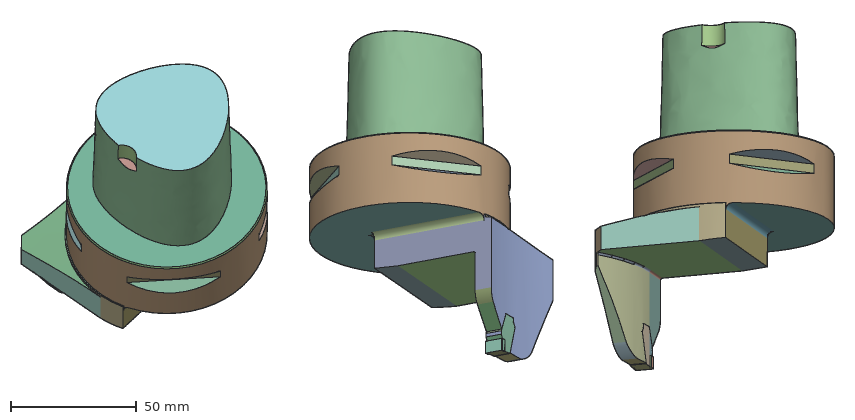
import cadquery as cq
import math


OVERALL_LENGTH_X = 86.0
OVERALL_HEIGHT = 133.1

SHANK_HEIGHT = 48.0
SHANK_BASE_RADIUS = 27.5
SHANK_TAPER = 1 / 40
SHANK_TOP_RADIUS = SHANK_BASE_RADIUS - SHANK_HEIGHT * SHANK_TAPER
LOBE_HEIGHT = 2.1
LOBE_POINTS = 36

NOTCH_RADIUS = 5.9
NOTCH_AXIS_Y = -27.4
NOTCH_DEPTH = 8.5
NOTCH_TIP_HEIGHT = NOTCH_RADIUS * math.tan(math.radians(30))

FLANGE_RADIUS = 40.0
FLANGE_HEIGHT = 30.1
FLANGE_CHAMFER = 0.5
SLOT_COUNT = 4
SLOT_FLOOR_RADIUS = 35.4
SLOT_FLOOR_WIDTH = 3.7
SLOT_FLANK_ANGLE = 30
SLOT_Z = -12.0
SLOT_LENGTH = 2 * FLANGE_RADIUS

BLOCK_FRONT_Y = -40.53
BLOCK_BACK_Y = 10.2
BLOCK_RIGHT_X = 10.5
BLOCK_BOTTOM_Z = -45.3
BLOCK_RIGHT_RISE = 0.8
BLOCK_FILLET = 2.7
ROOF_STEP = 1.2
ROOF_RADIUS = 57.9
ROOF_EDGE_Z = -35.5
CORNER_FRONT_X = -41.5
CORNER_X = FLANGE_RADIUS - OVERALL_LENGTH_X
CORNER_Y = -35.1

BLADE_OUTER_X = -41.5
BLADE_OUTER_APEX_Y = 0.7
BLADE_INNER_X = -34.6
BLADE_INNER_CURVE_Y = -2.7
BLADE_INNER_RADIUS = 62.5
BLADE_FRONT_Y = -36.2
BLADE_BOTTOM_Z = -84.1
BLADE_FILLET = 0.8

TIP_Z = SHANK_HEIGHT - OVERALL_HEIGHT
TIP_Y = 0.1
HEAD_BACK_Y = -2.4
HEAD_TOP_Z = -80.0
HEAD_RELIEF = 0.4
HEAD_OVERHANG = 0.7


def lobed_section(radius):
    """Points of a rounded three-lobed curve with one lobe toward +Y."""
    points = []
    for i in range(LOBE_POINTS):
        angle = 2 * math.pi * i / LOBE_POINTS
        x = radius * math.sin(angle) - LOBE_HEIGHT * math.sin(2 * angle)
        y = radius * math.cos(angle) + LOBE_HEIGHT * math.cos(2 * angle)
        points.append((x, y))
    return points


def make_shank():
    return (
        cq.Workplane("XY")
        .spline(lobed_section(SHANK_BASE_RADIUS), periodic=True).close()
        .workplane(offset=SHANK_HEIGHT)
        .spline(lobed_section(SHANK_TOP_RADIUS), periodic=True).close()
        .loft(combine=True)
    )


def make_notch():
    """Round hole with a conical end, turned about its own vertical axis."""
    return (
        cq.Workplane("XZ")
        .polyline([
            (0, 0),
            (NOTCH_RADIUS, 0),
            (NOTCH_RADIUS, -NOTCH_DEPTH),
            (0, -NOTCH_DEPTH - NOTCH_TIP_HEIGHT),
        ])
        .close()
        .revolve(360, (0, 0), (0, 1))
        .translate((0, NOTCH_AXIS_Y, SHANK_HEIGHT))
    )


def make_slot(angle):
    """Trapezoidal groove along a chord of the flange."""
    depth = FLANGE_RADIUS - SLOT_FLOOR_RADIUS
    half_floor = SLOT_FLOOR_WIDTH / 2
    half_mouth = half_floor + depth * math.tan(math.radians(SLOT_FLANK_ANGLE))
    return (
        cq.Workplane("XZ")
        .polyline([
            (SLOT_FLOOR_RADIUS, SLOT_Z - half_floor),
            (FLANGE_RADIUS, SLOT_Z - half_mouth),
            (FLANGE_RADIUS, SLOT_Z + half_mouth),
            (SLOT_FLOOR_RADIUS, SLOT_Z + half_floor),
        ])
        .close()
        .extrude(SLOT_LENGTH / 2, both=True)
        .rotate((0, 0, 0), (0, 0, 1), angle)
    )


def make_flange():
    flange = (
        cq.Workplane("XY")
        .circle(FLANGE_RADIUS)
        .extrude(-FLANGE_HEIGHT)
        .faces(">Z").chamfer(FLANGE_CHAMFER)
    )
    step = 360 / SLOT_COUNT
    for i in range(SLOT_COUNT):
        flange = flange.cut(make_slot(step * (i + 0.5)))
    return flange


def outer_curve_point(y):
    """Point on the arc through the corner that has its apex at BLADE_OUTER_APEX_Y."""
    dx = BLADE_OUTER_X - CORNER_X
    dy = BLADE_OUTER_APEX_Y - CORNER_Y
    radius = (dx ** 2 + dy ** 2) / (2 * dx)
    bow = radius - math.sqrt(radius ** 2 - (y - BLADE_OUTER_APEX_Y) ** 2)
    return (BLADE_OUTER_X - bow, y)


def inner_curve_point(y):
    drop = BLADE_INNER_CURVE_Y - y
    bow = BLADE_INNER_RADIUS - math.sqrt(BLADE_INNER_RADIUS ** 2 - drop ** 2)
    return (BLADE_INNER_X - bow, y)


def make_block():
    """Block under the flange, with a conical roof and a rising right-hand underside."""
    front_radius = -BLOCK_FRONT_Y
    right_front_y = -math.sqrt(front_radius ** 2 - BLOCK_RIGHT_X ** 2)
    half_angle = math.asin(BLOCK_RIGHT_X / front_radius) / 2
    arc_middle = (front_radius * math.sin(half_angle), -front_radius * math.cos(half_angle))
    plan = (
        cq.Workplane("XY", origin=(0, 0, BLOCK_BOTTOM_Z))
        .moveTo(*outer_curve_point(BLOCK_BACK_Y))
        .threePointArc(outer_curve_point(BLADE_OUTER_APEX_Y), (CORNER_X, CORNER_Y))
        .lineTo(CORNER_FRONT_X, BLOCK_FRONT_Y)
        .lineTo(0, BLOCK_FRONT_Y)
        .threePointArc(arc_middle, (BLOCK_RIGHT_X, right_front_y))
        .lineTo(BLOCK_RIGHT_X, BLOCK_BACK_Y)
        .close()
        .extrude(-FLANGE_HEIGHT - BLOCK_BOTTOM_Z)
    )
    roof = (
        cq.Workplane("XZ")
        .polyline([
            (0, -FLANGE_HEIGHT),
            (front_radius, -FLANGE_HEIGHT),
            (front_radius, -FLANGE_HEIGHT - ROOF_STEP),
            (ROOF_RADIUS, ROOF_EDGE_Z),
            (ROOF_RADIUS + 1.3, ROOF_EDGE_Z),
            (ROOF_RADIUS + 1.3, BLOCK_BOTTOM_Z),
            (0, BLOCK_BOTTOM_Z),
        ])
        .close()
        .revolve(360, (0, 0), (0, 1))
    )
    rise = (
        cq.Workplane("XZ")
        .polyline([
            (0, BLOCK_BOTTOM_Z),
            (BLOCK_RIGHT_X, BLOCK_BOTTOM_Z),
            (BLOCK_RIGHT_X, BLOCK_BOTTOM_Z + BLOCK_RIGHT_RISE),
        ])
        .close()
        .extrude(FLANGE_RADIUS * 2, both=True)
    )
    return plan.intersect(roof).cut(rise)


def fillet_section(plane, wall):
    """Section of a concave fillet between a vertical wall and the flange underside."""
    bend = BLOCK_FILLET * (1 - math.sqrt(0.5))
    return (
        cq.Workplane(plane)
        .moveTo(wall, -FLANGE_HEIGHT)
        .lineTo(wall + BLOCK_FILLET, -FLANGE_HEIGHT)
        .threePointArc((wall + bend, -FLANGE_HEIGHT - bend), (wall, -FLANGE_HEIGHT - BLOCK_FILLET))
        .close()
    )


def make_block_fillets():
    """Fillets along the right and back walls of the block."""
    right = fillet_section("XZ", BLOCK_RIGHT_X).extrude(FLANGE_RADIUS, both=True)
    right = right.intersect(
        cq.Workplane("XY").box(OVERALL_HEIGHT, FLANGE_RADIUS + BLOCK_BACK_Y, OVERALL_HEIGHT)
        .translate((0, (BLOCK_BACK_Y - FLANGE_RADIUS) / 2, 0))
    )
    back = fillet_section("YZ", BLOCK_BACK_Y).extrude(BLOCK_RIGHT_X - BLADE_OUTER_X)
    back = back.translate((BLADE_OUTER_X, 0, 0))
    under_flange = (
        cq.Workplane("XY", origin=(0, 0, -FLANGE_HEIGHT))
        .circle(FLANGE_RADIUS)
        .extrude(-BLOCK_FILLET)
    )
    return right.union(back).intersect(under_flange)


def make_blade_plate():
    """Blade thickness as a tall plate, before its side outline is cut."""
    corner_slope = (CORNER_FRONT_X - CORNER_X) / (CORNER_Y - BLOCK_FRONT_Y)
    front_outer_x = CORNER_X + (CORNER_Y - BLADE_FRONT_Y) * corner_slope
    inner_middle_y = (BLADE_INNER_CURVE_Y + BLADE_FRONT_Y) / 2
    return (
        cq.Workplane("XY", origin=(0, 0, TIP_Z))
        .moveTo(*outer_curve_point(BLOCK_BACK_Y))
        .threePointArc(outer_curve_point(BLADE_OUTER_APEX_Y), (CORNER_X, CORNER_Y))
        .lineTo(front_outer_x, BLADE_FRONT_Y)
        .lineTo(*inner_curve_point(BLADE_FRONT_Y))
        .threePointArc(inner_curve_point(inner_middle_y), (BLADE_INNER_X, BLADE_INNER_CURVE_Y))
        .lineTo(BLADE_INNER_X, BLOCK_BACK_Y)
        .close()
        .extrude(ROOF_EDGE_Z - TIP_Z)
    )


def make_blade_outline():
    """Side outline of the blade in Y and Z, extruded across the tool."""
    return (
        cq.Workplane("YZ")
        .moveTo(BLOCK_BACK_Y, ROOF_EDGE_Z)
        .lineTo(BLOCK_BACK_Y, -61.9)
        .threePointArc((9.7, -64.7), (8.3, -67.3))
        .lineTo(0.3, -76.5)
        .lineTo(HEAD_BACK_Y, BLADE_BOTTOM_Z)
        .lineTo(-14.0, BLADE_BOTTOM_Z)
        .threePointArc((-18.6, -82.3), (-21.8, -79.0))
        .lineTo(BLADE_FRONT_Y, -50.6)
        .lineTo(BLADE_FRONT_Y, ROOF_EDGE_Z)
        .close()
        .extrude(CORNER_X - 1.3)
    )


def make_insert_outline():
    """Side outline of the insert in Y and Z, extruded across the tool."""
    return (
        cq.Workplane("YZ")
        .polyline([
            (-3.0, -68.4),
            (-8.8, -68.4),
            (-8.9, -70.1),
            (-10.1, -72.0),
            (-6.3, -84.4),
            (TIP_Y, TIP_Z),
            (TIP_Y, HEAD_TOP_Z),
            (0.9, -78.5),
            (0.9, -77.0),
        ])
        .close()
        .extrude(CORNER_X - 1.3)
    )


def make_head_envelope(outer_x, inner_x):
    """Box around the cutting head between two X positions."""
    return (
        cq.Workplane("XY")
        .box(inner_x - outer_x, TIP_Y - HEAD_BACK_Y, HEAD_TOP_Z - TIP_Z, centered=False)
        .translate((outer_x, HEAD_BACK_Y, TIP_Z))
    )


def make_holder():
    blade = make_blade_plate().intersect(make_blade_outline())
    blade_root = cq.selectors.BoxSelector(
        (CORNER_X, BLADE_FRONT_Y - BLADE_FILLET, BLOCK_BOTTOM_Z - BLADE_FILLET),
        (BLADE_INNER_X + BLADE_FILLET, BLOCK_BACK_Y - BLADE_FILLET, BLOCK_BOTTOM_Z + BLADE_FILLET),
    )
    arm = make_block().union(blade).edges(blade_root).fillet(BLADE_FILLET)
    return (
        make_flange()
        .union(make_shank().cut(make_notch()))
        .union(arm)
        .union(make_block_fillets())
        .cut(make_insert_outline())
    )


def make_insert():
    """Insert flush with the blade, with a set-back outer side and overhang at its head."""
    outline = make_insert_outline()
    relief = make_head_envelope(BLADE_OUTER_X, BLADE_OUTER_X + HEAD_RELIEF)
    overhang = make_head_envelope(BLADE_INNER_X, BLADE_INNER_X + HEAD_OVERHANG).intersect(outline)
    return make_blade_plate().intersect(outline).union(overhang).cut(relief)


holder = make_holder()
insert = make_insert()
result = cq.Compound.makeCompound([holder.val(), insert.val()])